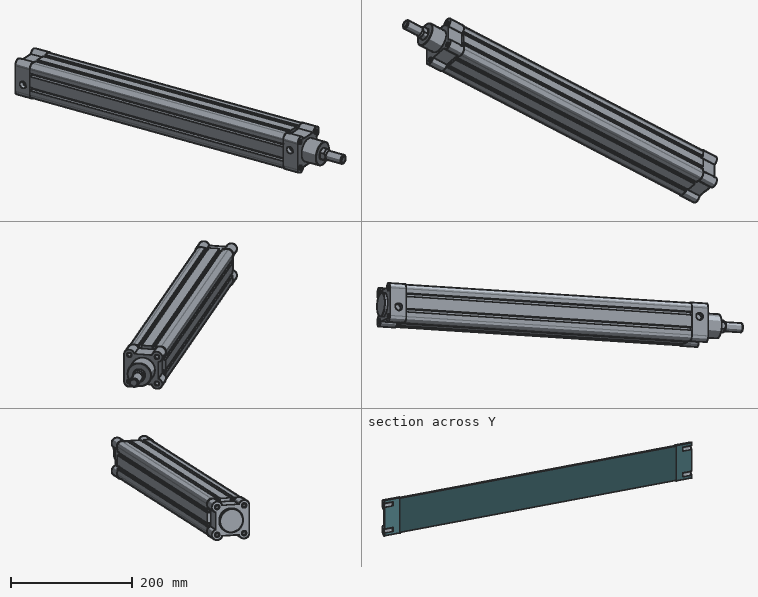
import cadquery as cq

OVERALL_LENGTH = 629.0

CAP_SIZE = 65.0
CAP_LENGTH = 28.0
SCREW_OFFSET = 23.0
CORNER_RADIUS = CAP_SIZE / 2 - SCREW_OFFSET
RECESSED_FACE = 26.0
SCREW_HOLE_DIAMETER = 6.0
SCREW_HOLE_MOUTH = 8.0
SCREW_HOLE_DEPTH = 16.0
PORT_DIAMETER = 12.0
PORT_DEPTH = 9.5
PORT_OFFSET = 8.0
PORT_SETBACK = 15.0
COLLAR_DIAMETER = 40.0
COLLAR_CHAMFER = 0.5
REAR_COLLAR_LENGTH = 5.0
FRONT_COLLAR_LENGTH = 28.0

BARREL_LENGTH = 497.5
BARREL_SIZE = 63.0
BARREL_CORNER_RADIUS = BARREL_SIZE / 2 - SCREW_OFFSET
SLOT_WIDTH = 5.5
SHALLOW_SLOT_DEPTH = 4.0
SHALLOW_SLOT_INNER_EDGE = 9.0
DEEP_SLOT_DEPTH = 7.5
DEEP_SLOT_INNER_EDGE = 10.0

ROD_DIAMETER = 20.0
THREAD_DIAMETER = 16.0
ROD_FLAT_SETBACK = 1.0
ROD_FLAT_WIDTH = 17.0
ROD_TAPER_LENGTH = 3.0
THREAD_LENGTH = 30.0
THREAD_CHAMFER = 2.0

REAR_CAP_FACE = REAR_COLLAR_LENGTH
BARREL_START = REAR_CAP_FACE + CAP_LENGTH
BARREL_END = BARREL_START + BARREL_LENGTH
FRONT_CAP_FACE = BARREL_END + CAP_LENGTH
COLLAR_END = FRONT_CAP_FACE + FRONT_COLLAR_LENGTH
ROD_SHOULDER = OVERALL_LENGTH - THREAD_LENGTH


def section_plane(x):
    """Plane across the axis at x; its local axes are Y and Z and its normal is +X."""
    return cq.Workplane("YZ", origin=(x, 0, 0))


def make_cap(outer_face, inward, port_height, collar_length):
    """End cap with its collar; inward is the X direction (+1 or -1) from the outer face to the barrel."""
    corners = [(y, z) for y in (-SCREW_OFFSET, SCREW_OFFSET) for z in (-SCREW_OFFSET, SCREW_OFFSET)]
    length = inward * CAP_LENGTH
    face = section_plane(outer_face)

    cap = face.rect(2 * RECESSED_FACE, 2 * RECESSED_FACE).extrude(length)
    cap = cap.union(face.pushPoints(corners).circle(CORNER_RADIUS).extrude(length))

    pad_depth = CAP_SIZE / 2 - RECESSED_FACE
    pad_centre = -(CAP_SIZE + 2 * RECESSED_FACE) / 4
    cap = cap.union(face.center(pad_centre, 0).rect(pad_depth, 2 * SCREW_OFFSET).extrude(length))

    collar = face.circle(COLLAR_DIAMETER / 2).extrude(-inward * collar_length)
    outer_end = "<X" if inward > 0 else ">X"
    collar = collar.faces(outer_end).chamfer(COLLAR_CHAMFER)
    cap = cap.union(collar)

    screw_holes = face.pushPoints(corners).circle(SCREW_HOLE_DIAMETER / 2)
    cap = cap.cut(screw_holes.extrude(inward * SCREW_HOLE_DEPTH))
    countersinks = face.pushPoints(corners).circle(SCREW_HOLE_MOUTH / 2)
    countersink_depth = (SCREW_HOLE_MOUTH - SCREW_HOLE_DIAMETER) / 2
    cap = cap.cut(countersinks.extrude(inward * countersink_depth, taper=45))

    port_x = outer_face + inward * PORT_SETBACK
    port = cq.Workplane("XZ", origin=(port_x, -CAP_SIZE / 2, port_height))
    return cap.cut(port.circle(PORT_DIAMETER / 2).extrude(-PORT_DEPTH))


def make_rear_cap():
    return make_cap(REAR_CAP_FACE, 1, -PORT_OFFSET, REAR_COLLAR_LENGTH)


def make_front_cap():
    cap = make_cap(FRONT_CAP_FACE, -1, PORT_OFFSET, FRONT_COLLAR_LENGTH)
    rod_bore = section_plane(BARREL_END).circle(ROD_DIAMETER / 2).extrude(COLLAR_END - BARREL_END)
    return cap.cut(rod_bore)


def slot_pair(inner_edge, depth, angle):
    """Cutter for the two slots of one side: the +Z side turned by an angle about the axis."""
    offset = inner_edge + SLOT_WIDTH / 2
    centre_height = (BARREL_SIZE - depth) / 2
    slots = section_plane(BARREL_START).pushPoints([(-offset, centre_height), (offset, centre_height)])
    slots = slots.rect(SLOT_WIDTH, depth).extrude(BARREL_LENGTH)
    return slots.rotate((0, 0, 0), (1, 0, 0), angle)


def make_barrel():
    """Square profile with rounded edges and two slots along each of its four sides."""
    barrel = section_plane(BARREL_START).rect(BARREL_SIZE, BARREL_SIZE).extrude(BARREL_LENGTH)
    barrel = barrel.edges("|X").fillet(BARREL_CORNER_RADIUS)
    for angle in (0, 180, 270):
        barrel = barrel.cut(slot_pair(SHALLOW_SLOT_INNER_EDGE, SHALLOW_SLOT_DEPTH, angle))
    minus_y_angle = 90
    return barrel.cut(slot_pair(DEEP_SLOT_INNER_EDGE, DEEP_SLOT_DEPTH, minus_y_angle))


def make_piston_rod():
    """Rod through the front cap, with two wrench flats and a threaded end."""
    rod = section_plane(BARREL_END).circle(ROD_DIAMETER / 2).extrude(ROD_SHOULDER - BARREL_END)
    rod = rod.faces(">X").chamfer(ROD_TAPER_LENGTH, (ROD_DIAMETER - THREAD_DIAMETER) / 2)

    flat_start = COLLAR_END + ROD_FLAT_SETBACK
    flat_depth = (ROD_DIAMETER - ROD_FLAT_WIDTH) / 2
    flat_centre = (ROD_DIAMETER + ROD_FLAT_WIDTH) / 4
    flats = section_plane(flat_start).pushPoints([(-flat_centre, 0), (flat_centre, 0)])
    rod = rod.cut(flats.rect(flat_depth, ROD_DIAMETER).extrude(ROD_SHOULDER - flat_start))

    thread = section_plane(ROD_SHOULDER).circle(THREAD_DIAMETER / 2).extrude(THREAD_LENGTH)
    return rod.union(thread.faces(">X").chamfer(THREAD_CHAMFER))


rear_cap = make_rear_cap()
front_cap = make_front_cap()
barrel = make_barrel()
piston_rod = make_piston_rod()

bodies = [rear_cap, front_cap, barrel, piston_rod]
result = cq.Compound.makeCompound([body.solids().val() for body in bodies])